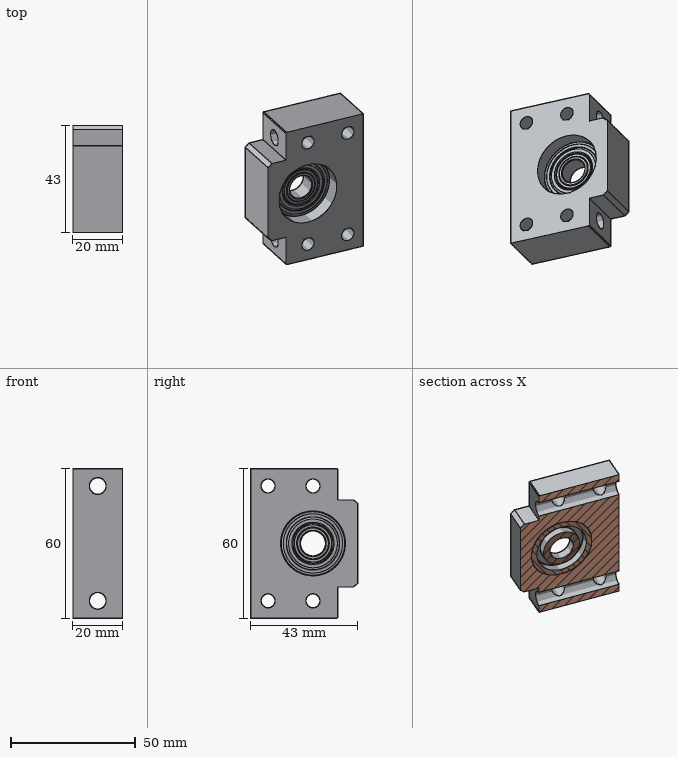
import cadquery as cq

thickness = 20.0
height = 60.0
nose_rise = 43.0
body_rise = 35.0
nose_height = 35.0
nose_chamfer_rise = 1.75
nose_chamfer_height = 1.5
shoulder_chamfer = 0.35

hole_spacing = 46.0
rising_hole_diameter = 6.6
cross_hole_diameter = 5.5
cross_hole_pitch = 18.0

axis_y = 25.0
seat_radius = 13.0
bore_radius = 5.0
bearing_width = 8.0
ring_chamfer = 0.3
face_step = 0.2

outer_land_radius = 11.9
outer_bore_radius = 10.7

inner_land_radius = 6.2
inner_slope_foot_radius = 6.55
inner_rim_radius = 7.5
inner_outer_radius = 8.0
inner_rim_drop = 0.2

shield_lip_radius = 8.45
shield_crown_radius = 9.8
shield_cone_radius = 10.55
shield_crown_depth = 0.1
shield_lip_drop = 0.2
shield_cone_drop = 0.4
shield_thickness = 0.3

middle_x = thickness / 2
bearing_face = -bearing_width / 2
hole_heights = (-hole_spacing / 2, hole_spacing / 2)


def revolve_on_axis(points):
    """Revolve (radius, offset) points about the bearing axis; offset is along X from mid-thickness."""
    outline = [(middle_x + offset, axis_y + radius) for radius, offset in points]
    profile = cq.Workplane("XY").polyline(outline).close()
    return profile.revolve(360, (0, axis_y, 0), (1, axis_y, 0))


def with_mirror(half):
    """Close a half outline with its mirror image, made by negating the second coordinate."""
    return half + [(first, -second) for first, second in reversed(half)]


def make_block():
    """T-shaped plate with a chamfered nose and small chamfers along its shoulder corners."""
    half_height = height / 2
    half_nose = nose_height / 2
    half_outline = [
        (0, half_height),
        (body_rise - shoulder_chamfer, half_height),
        (body_rise, half_height - shoulder_chamfer),
        (body_rise, half_nose),
        (nose_rise - nose_chamfer_rise, half_nose),
        (nose_rise, half_nose - nose_chamfer_height),
    ]
    return cq.Workplane("YZ").polyline(with_mirror(half_outline)).close().extrude(thickness)


def make_bearing_seat():
    return cq.Workplane("YZ").center(axis_y, 0).circle(seat_radius).extrude(thickness)


def make_rising_holes():
    """Holes along Y, from the base through to the shoulders."""
    points = [(middle_x, z) for z in hole_heights]
    return cq.Workplane("XZ").pushPoints(points).circle(rising_hole_diameter / 2).extrude(-nose_rise)


def make_cross_holes():
    """Holes along X: one pair level with the bearing axis, one pair nearer the base."""
    points = [(y, z) for y in (axis_y, axis_y - cross_hole_pitch) for z in hole_heights]
    return cq.Workplane("YZ").pushPoints(points).circle(cross_hole_diameter / 2).extrude(thickness)


def make_housing():
    return make_block().cut(make_bearing_seat()).cut(make_rising_holes()).cut(make_cross_holes())


def make_outer_ring():
    """Ring filling the seat, with a raised land around the rim of each face."""
    step = bearing_face + face_step
    return revolve_on_axis(with_mirror([
        (seat_radius, bearing_face + ring_chamfer),
        (seat_radius - ring_chamfer, bearing_face),
        (outer_land_radius, bearing_face),
        (outer_land_radius, step),
        (outer_bore_radius, step),
    ]))


def make_inner_ring():
    """Ring with a raised land around the bore, sloping to a step and a bevelled rim."""
    step = bearing_face + face_step
    return revolve_on_axis(with_mirror([
        (bore_radius, bearing_face + ring_chamfer),
        (bore_radius + ring_chamfer, bearing_face),
        (inner_land_radius, bearing_face),
        (inner_slope_foot_radius, step),
        (inner_rim_radius, step),
        (inner_outer_radius, step + inner_rim_drop),
    ]))


def make_shield(side):
    """Shield closing the space between the rings; side is -1 for the -X face and 1 for the +X face."""
    crown = bearing_face + shield_crown_depth
    cone_foot = crown + shield_cone_drop
    back = cone_foot + shield_thickness
    profile = [
        (inner_outer_radius, crown + shield_lip_drop),
        (shield_lip_radius, crown),
        (shield_crown_radius, crown),
        (shield_cone_radius, cone_foot),
        (outer_bore_radius, cone_foot),
        (outer_bore_radius, back),
        (inner_outer_radius, back),
    ]
    return revolve_on_axis([(radius, -side * offset) for radius, offset in profile])


housing = make_housing()
outer_ring = make_outer_ring()
inner_ring = make_inner_ring()
shields = [make_shield(side) for side in (-1, 1)]

result = cq.Compound.makeCompound([
    housing.val(),
    outer_ring.val(),
    inner_ring.val(),
    *[shield.val() for shield in shields],
])